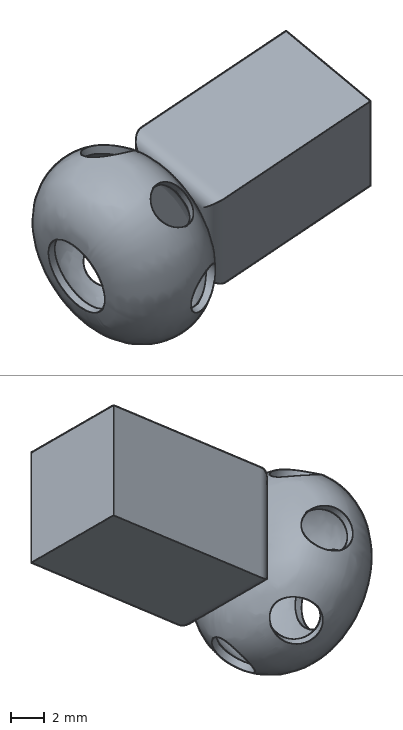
import cadquery as cq

total_length = 20.0
block_side = 7.5
block_round = 1.0

bulb_depth = 7.5
mouth_radius = 2.5
wall = 0.5
rim_radius = bulb_depth / 2

hole_count = 6
hole_diameter = 3.0
hole_from_front = 5.0
hole_reach = 2 * (mouth_radius + rim_radius)


def rounded_disc(radius):
    """Flat disc with a half-round rim of the given radius, centred in the bulb."""
    front = rim_radius - radius
    back = rim_radius + radius
    return (
        cq.Workplane("XY")
        .moveTo(0, front)
        .lineTo(mouth_radius, front)
        .threePointArc((mouth_radius + radius, rim_radius), (mouth_radius, back))
        .lineTo(0, back)
        .close()
        .revolve(360, (0, 0, 0), (0, 1, 0))
    )


def mouth_opening():
    """Round opening along Y through the front wall, ending inside the hollow."""
    return cq.Workplane("XZ").circle(mouth_radius).extrude(-rim_radius)


def radial_hole(angle):
    """Hole from the bulb axis outward, turned around Y from the +X direction."""
    return (
        cq.Workplane("YZ")
        .center(hole_from_front, 0)
        .circle(hole_diameter / 2)
        .extrude(hole_reach)
        .rotate((0, 0, 0), (0, 1, 0), angle)
    )


bulb = rounded_disc(rim_radius).cut(rounded_disc(rim_radius - wall)).cut(mouth_opening())
for index in range(hole_count):
    bulb = bulb.cut(radial_hole(index * 360 / hole_count))

block = (
    cq.Workplane("XZ", origin=(0, bulb_depth, 0))
    .rect(block_side, block_side)
    .extrude(bulb_depth - total_length)
    .faces("<Y")
    .edges()
    .fillet(block_round)
)

result = bulb.union(block)